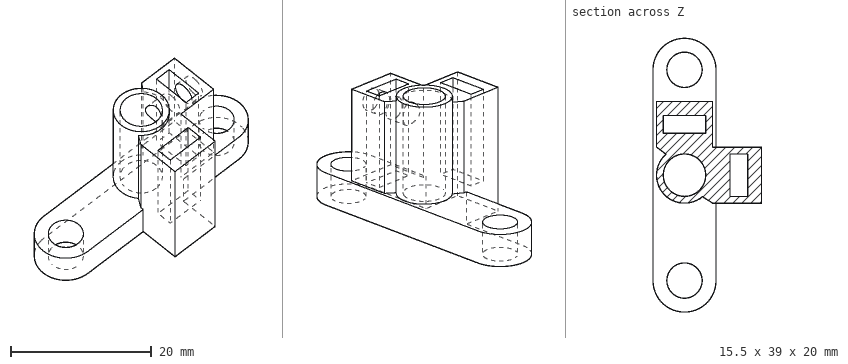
import cadquery as cq
import math

plate_length = 39.0
plate_width = 9.0
plate_thickness = 5.0
mount_hole_diameter = 5.0
mount_hole_spacing = plate_length - plate_width

tube_diameter = 8.0
bore_diameter = 6.0
tube_top = 20.0
tube_radius = tube_diameter / 2

block_width = tube_diameter
block_top = 19.2
rear_block_depth = 6.5
side_block_depth = 7.0

pocket_width = bore_diameter
pocket_depth = 2.5
rear_pocket_wall = 2.0
side_pocket_wall = 2.5

rear_web_reach = 1.0
side_web_reach = 1.45

cross_hole_diameter = 3.4
cross_hole_height = 16.38


def cylinder(diameter, bottom, top):
    """Upright cylinder on the tube axis."""
    return cq.Workplane("XY").workplane(offset=bottom).circle(diameter / 2).extrude(top - bottom)


def radial_box(start, depth, width, bottom, top):
    """Box centred across the X axis, running outwards from x = start."""
    return (
        cq.Workplane("XY")
        .box(depth, width, top - bottom, centered=(False, True, False))
        .translate((start, 0, bottom))
    )


def web(reach, bottom):
    """Trapezoid from the tube surface out to the full width of a block's inner face."""
    inner_x = tube_radius - reach
    inner_y = math.sqrt(tube_radius**2 - inner_x**2)
    half_width = block_width / 2
    outline = [
        (inner_x, -inner_y),
        (tube_radius, -half_width),
        (tube_radius, half_width),
        (inner_x, inner_y),
    ]
    return cq.Workplane("XY").workplane(offset=bottom).polyline(outline).close().extrude(block_top - bottom)


def housing(depth, web_reach, bottom):
    """Block with its web, on the +X side of the tube."""
    block = radial_box(tube_radius, depth, block_width, bottom, block_top)
    return block.union(web(web_reach, bottom))


def pocket(wall):
    """Rectangular pocket, open at the block top and ending level with the plate top."""
    return radial_box(tube_radius + wall, pocket_depth, pocket_width, plate_thickness, block_top)


def turn_to_rear(shape):
    """Turn a shape from the +X side to the +Y side."""
    return shape.rotate((0, 0, 0), (0, 0, 1), 90)


plate = (
    cq.Workplane("XY")
    .slot2D(plate_length, plate_width, 90)
    .extrude(plate_thickness)
    .faces(">Z")
    .workplane()
    .pushPoints([(0, -mount_hole_spacing / 2), (0, mount_hole_spacing / 2)])
    .hole(mount_hole_diameter)
)

rear_housing = turn_to_rear(housing(rear_block_depth, rear_web_reach, plate_thickness))
side_housing = housing(side_block_depth, side_web_reach, 0)

cross_hole = (
    cq.Workplane("XZ", origin=(0, 0, cross_hole_height))
    .circle(cross_hole_diameter / 2)
    .extrude(-(tube_radius + rear_block_depth))
)

result = (
    plate.union(cylinder(tube_diameter, plate_thickness, tube_top))
    .union(rear_housing)
    .union(side_housing)
    .cut(cylinder(bore_diameter, plate_thickness, tube_top))
    .cut(turn_to_rear(pocket(rear_pocket_wall)))
    .cut(pocket(side_pocket_wall))
    .cut(cross_hole)
)